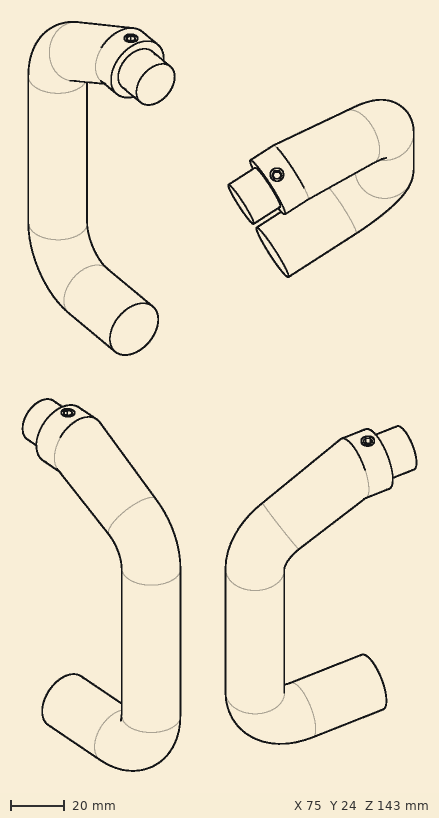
import cadquery as cq
import math

TUBE_DIAMETER = 22.0
BEND_RADIUS = 19.7
LOWER_LEG_END_X = 60.9
UPPER_BEND_START_Z = 97.7
ARM_SLOPE_DEGREES = 26.5

OVERALL_HEIGHT = 143.0
OVERALL_LENGTH = 75.0
COLLAR_DIAMETER = 24.0
COLLAR_START_X = 52.8
COLLAR_END_X = 63.0
SPIGOT_DIAMETER = 17.5

SCREW_DIAMETER = 5.0
SCREW_LENGTH = 6.0
SCREW_RECESS = 0.3
SCREW_X = 58.9
SOCKET_ACROSS_FLATS = 3.0
SOCKET_DEPTH = 2.6

tube_radius = TUBE_DIAMETER / 2
bend_center_x = tube_radius + BEND_RADIUS
lower_bend_center_z = tube_radius + BEND_RADIUS
collar_axis_z = OVERALL_HEIGHT - COLLAR_DIAMETER / 2
screw_top_z = OVERALL_HEIGHT - SCREW_RECESS
screw_bottom_z = screw_top_z - SCREW_LENGTH


def upper_bend_point(turn_degrees):
    """X and Z of the tube axis after turning by an angle into the upper bend."""
    turn = math.radians(turn_degrees)
    x = bend_center_x - BEND_RADIUS * math.cos(turn)
    z = UPPER_BEND_START_Z + BEND_RADIUS * math.sin(turn)
    return x, z


def lower_bend_middle():
    """X and Z of the tube axis halfway round the quarter-turn lower bend."""
    offset = BEND_RADIUS * math.sqrt(0.5)
    return bend_center_x - offset, lower_bend_center_z - offset


def rod_along_x(diameter, start_x, end_x):
    """Round bar on the collar's axis."""
    plane = cq.Workplane("YZ", origin=(start_x, 0, collar_axis_z))
    return plane.circle(diameter / 2).extrude(end_x - start_x)


def vertical_bar(bottom_z, top_z):
    """Round bar of the screw's diameter on the screw's axis."""
    plane = cq.Workplane("XY", origin=(SCREW_X, 0, bottom_z))
    return plane.circle(SCREW_DIAMETER / 2).extrude(top_z - bottom_z)


upper_bend_turn = 90 - ARM_SLOPE_DEGREES
arm_start_x, arm_start_z = upper_bend_point(upper_bend_turn)


def make_bent_tube():
    """Lower leg, lower bend, upright grip and upper bend in one sweep."""
    axis = (
        cq.Workplane("XZ")
        .moveTo(LOWER_LEG_END_X, tube_radius)
        .lineTo(bend_center_x, tube_radius)
        .threePointArc(lower_bend_middle(), (tube_radius, lower_bend_center_z))
        .lineTo(tube_radius, UPPER_BEND_START_Z)
        .threePointArc(upper_bend_point(upper_bend_turn / 2), (arm_start_x, arm_start_z))
    )
    leg_end = cq.Workplane("YZ", origin=(LOWER_LEG_END_X, 0, tube_radius))
    return leg_end.circle(tube_radius).sweep(axis)


def make_upper_arm():
    """Loft from the tilted end of the upper bend to the upright face of the collar."""
    slope = math.radians(ARM_SLOPE_DEGREES)
    arm_direction = cq.Vector(math.cos(slope), 0, math.sin(slope))
    tube_end = cq.Wire.makeCircle(tube_radius, cq.Vector(arm_start_x, 0, arm_start_z), arm_direction)
    collar_face = cq.Wire.makeCircle(
        COLLAR_DIAMETER / 2, cq.Vector(COLLAR_START_X, 0, collar_axis_z), cq.Vector(1, 0, 0)
    )
    return cq.Workplane(cq.Solid.makeLoft([tube_end, collar_face], True))


def make_handle():
    """Bent tube, upper arm, collar and spigot, with the hole for the set screw."""
    collar = rod_along_x(COLLAR_DIAMETER, COLLAR_START_X, COLLAR_END_X)
    spigot = rod_along_x(SPIGOT_DIAMETER, COLLAR_END_X, OVERALL_LENGTH)
    screw_hole = vertical_bar(screw_bottom_z, OVERALL_HEIGHT)
    return make_bent_tube().union(make_upper_arm()).union(collar).union(spigot).cut(screw_hole)


def make_set_screw():
    """Headless screw with a hexagon socket that has two corners along Y."""
    corner_diameter = SOCKET_ACROSS_FLATS / math.cos(math.radians(30))
    socket = (
        cq.Workplane("XY", origin=(SCREW_X, 0, screw_top_z))
        .transformed(rotate=(0, 0, 90))
        .polygon(6, corner_diameter)
        .extrude(-SOCKET_DEPTH)
    )
    return vertical_bar(screw_bottom_z, screw_top_z).cut(socket)


handle = make_handle()
set_screw = make_set_screw()

result = cq.Compound.makeCompound([handle.val(), set_screw.val()])